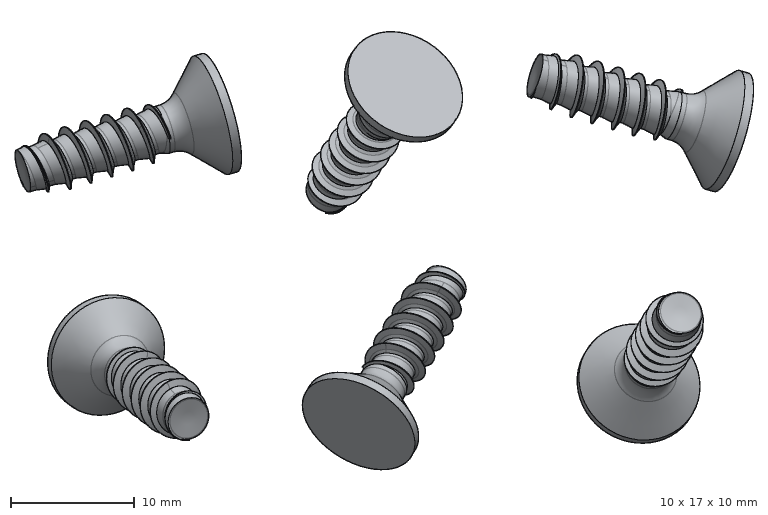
import cadquery as cq
import math

length = 17.0

head_radius = 5.0
rim_height = 0.76
cone_angle = 45.0
shank_radius = 1.99
neck_fillet = 2.0
shank_end = 5.03
core_radius = 1.77
core_start = 5.68

pitch = 1.8
first_crest = 4.83
crest_radius = 2.5
crest_half_width = 0.03
knee_radius = 2.02
knee_offset = -0.24
head_flank_offset = -0.4
tip_flank_radius = 1.94
tip_flank_offset = 0.22
buried_radius = 1.53
lead_in_start = 0.08
lead_in_end = 1.2
run_out_start = 5.3
run_out_end = 6.8
lead_in_sink = 0.3
run_out_sink = 0.75

ramp_length = 1.12
ramp_top_radius = 1.97
ramp_start = -0.75
ramp_end_sink = 0.08

dish_radius = 1.67
dish_depth = 0.17

thread_profile = [
    (buried_radius, head_flank_offset),
    (core_radius, head_flank_offset),
    (knee_radius, knee_offset),
    (crest_radius, -crest_half_width),
    (crest_radius, crest_half_width),
    (tip_flank_radius, tip_flank_offset),
    (buried_radius, tip_flank_offset),
]
ramp_profile = [
    (buried_radius, 0),
    (ramp_top_radius, 0),
    (core_radius, ramp_length),
    (buried_radius, ramp_length),
]


def make_body():
    """Revolved head, neck, shank and core."""
    angle = math.radians(cone_angle)
    cone_length = (head_radius - shank_radius) / math.tan(angle)
    fillet_end = rim_height + cone_length + neck_fillet * math.tan(angle / 2)

    def fillet_point(turned):
        """Point on the neck fillet, reached by turning from its tangent point on the shank."""
        radius = shank_radius + neck_fillet * (1 - math.cos(turned))
        return (radius, -fillet_end + neck_fillet * math.sin(turned))

    return (
        cq.Workplane("XY")
        .lineTo(head_radius, 0)
        .lineTo(head_radius, -rim_height)
        .lineTo(*fillet_point(angle))
        .threePointArc(fillet_point(angle / 2), fillet_point(0))
        .lineTo(shank_radius, -shank_end)
        .lineTo(core_radius, -core_start)
        .lineTo(core_radius, -length)
        .lineTo(0, -length)
        .close()
        .revolve(360, (0, 0), (0, 1))
    )


def make_ridge(profile, start_turn, end_turn, start_sink=0.0, end_sink=0.0):
    """Helical solid about +Z; its profile of (radius, offset) points is sunk toward the axis at each end."""
    turns = end_turn - start_turn
    rise = turns * pitch
    sink_angle = math.atan2(start_sink - end_sink, rise)
    slant = 1 / math.cos(sink_angle)
    helix_angle = math.degrees(sink_angle) if sink_angle else 360
    start_height = first_crest + start_turn * pitch

    edges = []
    for radius, offset in profile:
        helix = cq.Wire.makeHelix(
            pitch * slant,
            rise * slant,
            radius - start_sink,
            cq.Vector(0, 0, start_height + offset),
            cq.Vector(0, 0, 1),
            helix_angle,
        )
        edges.append(helix.Edges()[0])

    faces = []
    for edge, next_edge in zip(edges, edges[1:] + edges[:1]):
        faces.append(cq.Face.makeRuledSurface(edge, next_edge))
    for position in (0, 1):
        corners = [edge.positionAt(position) for edge in edges]
        faces.append(cq.Face.makeFromWires(cq.Wire.makePolygon(corners, close=True)))
    ridge = cq.Solid.makeSolid(cq.Shell.makeShell(faces))
    return ridge.rotate(cq.Vector(0, 0, 0), cq.Vector(0, 0, 1), start_turn * 360)


def make_thread():
    """All ridges, turned so that they advance from the head toward -Y."""
    ridges = [
        make_ridge(ramp_profile, ramp_start, run_out_start),
        make_ridge(ramp_profile, run_out_start, run_out_end, 0, ramp_end_sink),
        make_ridge(thread_profile, lead_in_start, lead_in_end, lead_in_sink, 0),
        make_ridge(thread_profile, lead_in_end, run_out_start),
        make_ridge(thread_profile, run_out_start, run_out_end, 0, run_out_sink),
    ]
    return [ridge.rotate(cq.Vector(0, 0, 0), cq.Vector(1, 0, 0), 90) for ridge in ridges]


def make_dish():
    """Cone removed from the tip face."""
    return (
        cq.Workplane("XY")
        .moveTo(0, -length)
        .lineTo(dish_radius, -length)
        .lineTo(0, -length + dish_depth)
        .close()
        .revolve(360, (0, 0), (0, 1))
    )


envelope = cq.Workplane("XZ").circle(head_radius).extrude(length)

screw = make_body().val().fuse(*make_thread())
result = cq.Workplane(screw).intersect(envelope).cut(make_dish())